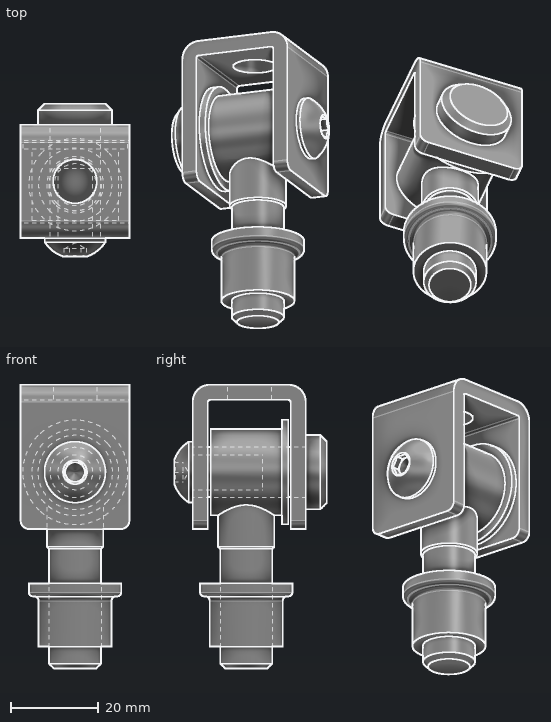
import cadquery as cq
import math


overall_height = 65.1

bracket_width = 25.0
bracket_thickness = 3.5
bracket_front = -12.3
bracket_rear = 13.7
bracket_top = 20.05
bracket_bottom = -13.1
bend_outer_radius = 4.0
bend_inner_radius = 0.5
leg_corner_radius = 2.0
top_hole_diameter = 10.0

eye_diameter = 19.85
eye_length = 16.35
collar_diameter = 12.95
collar_bottom = -17.6
collar_taper = 0.45
shank_diameter = 12.0
shank_bottom = bracket_top - overall_height
shank_chamfer = 1.2

washer_diameter = 24.0
washer_thickness = 1.5

pin_diameter = 11.5
nut_head_diameter = 17.05
nut_head_height = 4.8
nut_head_chamfer = 1.5

screw_diameter = 8.0
screw_length = 16.0
screw_head_diameter = 14.0
screw_head_height = 4.2
screw_rim_height = 0.9
socket_across_flats = 4.5
socket_depth = 1.95
socket_mouth_diameter = 5.55
socket_mouth_depth = 0.25
socket_point_height = 1.3

flange_diameter = 21.2
flange_top = -25.5
flange_thickness = 3.0
flange_edge_radius = 1.0
sleeve_diameter = 16.8
sleeve_bottom = -40.0
sleeve_fillet = 1.0


def cylinder_y(diameter, start, end):
    """Solid cylinder on the pin axis between two Y positions."""
    plane = cq.Workplane("XZ", origin=(0, start, 0))
    return plane.circle(diameter / 2).extrude(start - end)


def cylinder_z(diameter, bottom, top):
    """Solid cylinder on the shank axis between two Z positions."""
    return cq.Workplane("XY").workplane(offset=bottom).circle(diameter / 2).extrude(top - bottom)


def make_bracket():
    """Bent strip with two legs, a cross hole for the pin and a hole in the top."""
    depth = bracket_rear - bracket_front
    height = bracket_top - bracket_bottom
    centre_y = (bracket_front + bracket_rear) / 2
    outside = (
        cq.Workplane("XY", origin=(0, centre_y, bracket_bottom))
        .box(bracket_width, depth, height, centered=(True, True, False))
        .edges("|X and >Z").fillet(bend_outer_radius)
        .edges("|Y and <Z").fillet(leg_corner_radius)
    )
    inside = (
        cq.Workplane("XY", origin=(0, centre_y, bracket_bottom))
        .box(bracket_width, depth - 2 * bracket_thickness, height - bracket_thickness,
             centered=(True, True, False))
        .edges("|X and >Z").fillet(bend_inner_radius)
    )
    pin_hole = cylinder_y(pin_diameter, bracket_front, bracket_rear)
    top_hole = (
        cq.Workplane("XY", origin=(0, centre_y, bracket_top))
        .circle(top_hole_diameter / 2).extrude(-bracket_thickness)
    )
    return outside.cut(inside).cut(pin_hole).cut(top_hole)


def make_eye_bolt():
    """Cross barrel on a collared shank, bored for the pin."""
    eye = cylinder_y(eye_diameter, -eye_length / 2, eye_length / 2)
    collar = (
        cylinder_z(collar_diameter, collar_bottom, 0)
        .faces("<Z").chamfer(collar_taper)
    )
    shank = cylinder_z(shank_diameter, shank_bottom, 0).faces("<Z").chamfer(shank_chamfer)
    bore = cylinder_y(pin_diameter, -eye_length / 2, eye_length / 2)
    return eye.union(collar).union(shank).cut(bore)


def make_washer():
    """Flat ring against the rear end of the eye."""
    start = eye_length / 2
    end = start + washer_thickness
    return cylinder_y(washer_diameter, start, end).cut(cylinder_y(pin_diameter, start, end))


def make_sleeve_nut():
    """Chamfered round head outside the rear leg, with a bored barrel through both legs."""
    head = (
        cylinder_y(nut_head_diameter, bracket_rear, bracket_rear + nut_head_height)
        .faces(">Y").chamfer(nut_head_chamfer)
    )
    barrel = cylinder_y(pin_diameter, bracket_front, bracket_rear)
    screw_hole = cylinder_y(screw_diameter, bracket_front, bracket_front + screw_length)
    return head.union(barrel).cut(screw_hole)


def make_screw():
    """Domed head with a hexagon socket, and a shank that fills the hole in the sleeve nut."""
    head_radius = screw_head_diameter / 2
    mouth_radius = socket_mouth_diameter / 2
    dome_height = screw_head_height - screw_rim_height

    centre_below_rim = (head_radius**2 - mouth_radius**2 - dome_height**2) / (2 * dome_height)
    dome_radius = math.hypot(head_radius, centre_below_rim)
    middle_radius = (head_radius + mouth_radius) / 2
    middle_rise = math.sqrt(dome_radius**2 - middle_radius**2) - centre_below_rim

    rim_y = bracket_front - screw_rim_height
    mouth_y = bracket_front - screw_head_height
    shank_end = bracket_front + screw_length
    blank = (
        cq.Workplane("XY")
        .moveTo(0, shank_end)
        .lineTo(screw_diameter / 2, shank_end)
        .lineTo(screw_diameter / 2, bracket_front)
        .lineTo(head_radius, bracket_front)
        .lineTo(head_radius, rim_y)
        .threePointArc((middle_radius, rim_y - middle_rise), (mouth_radius, mouth_y))
        .lineTo(0, mouth_y)
        .close()
        .revolve(360, (0, 0), (0, 1))
    )
    return blank.cut(make_socket(mouth_y))


def make_socket(mouth_y):
    """Hexagon recess with a countersunk mouth and a drill point at the bottom."""
    corner_diameter = socket_across_flats / math.cos(math.pi / 6)
    floor_y = mouth_y + socket_depth
    mouth_radius = socket_mouth_diameter / 2
    flat_radius = socket_across_flats / 2
    hexagon = (
        cq.Workplane("XZ", origin=(0, mouth_y, 0))
        .polygon(6, corner_diameter).extrude(-socket_depth)
    )
    mouth = cq.Workplane(cq.Solid.makeCone(
        mouth_radius, flat_radius, socket_mouth_depth,
        cq.Vector(0, mouth_y, 0), cq.Vector(0, 1, 0)
    ))
    point = cq.Workplane(cq.Solid.makeCone(
        flat_radius, 0, socket_point_height, cq.Vector(0, floor_y, 0), cq.Vector(0, 1, 0)
    ))
    return hexagon.union(mouth).union(point)


def make_flanged_sleeve():
    """Bush on the shank with a rounded flange that blends into its body."""
    flange_bottom = flange_top - flange_thickness
    bore_radius = shank_diameter / 2
    body_radius = sleeve_diameter / 2
    flange_radius = flange_diameter / 2
    edge_drop = flange_edge_radius * math.sqrt(0.5)
    blend_drop = sleeve_fillet * math.sqrt(0.5)
    edge_centre = (flange_radius - flange_edge_radius, flange_bottom + flange_edge_radius)
    blend_centre = (body_radius + sleeve_fillet, flange_bottom - sleeve_fillet)
    return (
        cq.Workplane("XZ")
        .moveTo(bore_radius, flange_top)
        .lineTo(flange_radius, flange_top)
        .lineTo(flange_radius, edge_centre[1])
        .threePointArc((edge_centre[0] + edge_drop, edge_centre[1] - edge_drop),
                       (edge_centre[0], flange_bottom))
        .lineTo(blend_centre[0], flange_bottom)
        .threePointArc((blend_centre[0] - blend_drop, blend_centre[1] + blend_drop),
                       (body_radius, blend_centre[1]))
        .lineTo(body_radius, sleeve_bottom)
        .lineTo(bore_radius, sleeve_bottom)
        .close()
        .revolve(360, (0, 0), (0, 1))
    )


bracket = make_bracket()
eye_bolt = make_eye_bolt()
washer = make_washer()
sleeve_nut = make_sleeve_nut()
screw = make_screw()
flanged_sleeve = make_flanged_sleeve()

result = cq.Compound.makeCompound([
    bracket.val(),
    eye_bolt.val(),
    washer.val(),
    sleeve_nut.val(),
    screw.val(),
    flanged_sleeve.val(),
])